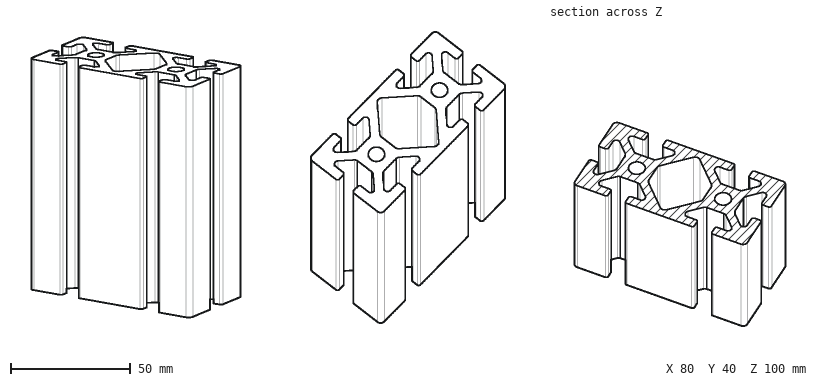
import cadquery as cq
import math

MODULE = 40.0
LENGTH = 100.0
WIDTH = 2 * MODULE
HALF_MODULE = MODULE / 2
CORE_CENTRES = [(-HALF_MODULE, 0), (HALF_MODULE, 0)]

SLOT_OPENING = 8.0
LIP_THICKNESS = 4.5
CORE_SIZE = 15.0
WEB_THICKNESS = 4.0

BORE_DIAMETER = 6.8

OUTER_CORNER_RADIUS = 2.0
LIP_RADIUS = 1.0
SLOT_END_RADIUS = 1.5
CORE_CORNER_RADIUS = 2.0
CHAMBER_TIP_RADIUS = 2.0

CORE_HALF = CORE_SIZE / 2
LIP_INNER = HALF_MODULE - LIP_THICKNESS
WEB_OFFSET = WEB_THICKNESS / math.sqrt(2)
CORE_FLAT_HALF = CORE_HALF - WEB_OFFSET
SLOT_HALF = LIP_INNER - WEB_OFFSET
CHAMBER_HALF_WIDTH = HALF_MODULE - CORE_HALF
CHAMBER_HALF_HEIGHT = HALF_MODULE - WEB_OFFSET

PICK_HALF = 0.1


def edges_at(points):
    """Select the lengthwise edges that pass through the given XY points."""
    selector = None
    for x, y in points:
        low = (x - PICK_HALF, y - PICK_HALF, 0)
        high = (x + PICK_HALF, y + PICK_HALF, LENGTH)
        box = cq.selectors.BoxSelector(low, high)
        selector = box if selector is None else selector + box
    return selector


def mirrored(x, y):
    """Give a point and its mirror image across the Y axis."""
    return [(x, y), (-x, y)]


def outer_block():
    """Solid bar with rounded outer corners."""
    bar = cq.Workplane("XY").rect(WIDTH, MODULE).extrude(LENGTH)
    return bar.edges("|Z").fillet(OUTER_CORNER_RADIUS)


def slot_cavity():
    """Trapezoidal slot interior above a core centred on the origin."""
    outline = [
        (-CORE_FLAT_HALF, CORE_HALF),
        (CORE_FLAT_HALF, CORE_HALF),
        (SLOT_HALF, LIP_INNER),
        (-SLOT_HALF, LIP_INNER),
    ]
    cavity = cq.Workplane("XY").polyline(outline).close().extrude(LENGTH)
    floor_corners = edges_at(mirrored(CORE_FLAT_HALF, CORE_HALF))
    cavity = cavity.edges(floor_corners).fillet(CORE_CORNER_RADIUS)
    end_corners = edges_at(mirrored(SLOT_HALF, LIP_INNER))
    return cavity.edges(end_corners).fillet(SLOT_END_RADIUS)


def slot_mouth():
    """Opening between the lips above a core centred on the origin."""
    mouth_height = HALF_MODULE - CORE_HALF
    mouth = cq.Workplane("XY").center(0, CORE_HALF + mouth_height / 2)
    return mouth.rect(SLOT_OPENING, mouth_height).extrude(LENGTH)


def t_slot(core_centre, angle):
    """Whole T-slot, turned about its core by the given angle."""
    slot = slot_cavity().union(slot_mouth())
    slot = slot.rotate((0, 0, 0), (0, 0, 1), angle)
    return slot.translate((core_centre[0], core_centre[1], 0))


def lip_edge_points(core_centre, angle):
    """Outer and inner lip edges of one T-slot."""
    turn = math.radians(angle)
    points = []
    for depth in (HALF_MODULE, LIP_INNER):
        for x, y in mirrored(SLOT_OPENING / 2, depth):
            turned_x = x * math.cos(turn) - y * math.sin(turn)
            turned_y = x * math.sin(turn) + y * math.cos(turn)
            points.append((core_centre[0] + turned_x, core_centre[1] + turned_y))
    return points


def centre_chamber():
    """Hexagonal hollow between the two cores."""
    outline = [
        (CHAMBER_HALF_WIDTH, CORE_FLAT_HALF),
        (0, CHAMBER_HALF_HEIGHT),
        (-CHAMBER_HALF_WIDTH, CORE_FLAT_HALF),
        (-CHAMBER_HALF_WIDTH, -CORE_FLAT_HALF),
        (0, -CHAMBER_HALF_HEIGHT),
        (CHAMBER_HALF_WIDTH, -CORE_FLAT_HALF),
    ]
    chamber = cq.Workplane("XY").polyline(outline).close().extrude(LENGTH)
    tips = edges_at([(0, CHAMBER_HALF_HEIGHT), (0, -CHAMBER_HALF_HEIGHT)])
    side_corners = edges_at(
        mirrored(CHAMBER_HALF_WIDTH, CORE_FLAT_HALF)
        + mirrored(CHAMBER_HALF_WIDTH, -CORE_FLAT_HALF)
    )
    chamber = chamber.edges(tips).fillet(CHAMBER_TIP_RADIUS)
    return chamber.edges(side_corners).fillet(CORE_CORNER_RADIUS)


def build_profile():
    """Cut the slots, chamber and bores, then round the lips."""
    left_core, right_core = CORE_CENTRES
    slots = [(left_core, 90), (right_core, -90)]
    for core in CORE_CENTRES:
        slots += [(core, 0), (core, 180)]

    profile = outer_block().cut(centre_chamber())
    lip_points = []
    for core, angle in slots:
        profile = profile.cut(t_slot(core, angle))
        lip_points += lip_edge_points(core, angle)
    profile = profile.edges(edges_at(lip_points)).fillet(LIP_RADIUS)

    bores = cq.Workplane("XY").pushPoints(CORE_CENTRES)
    return profile.cut(bores.circle(BORE_DIAMETER / 2).extrude(LENGTH))


result = build_profile()